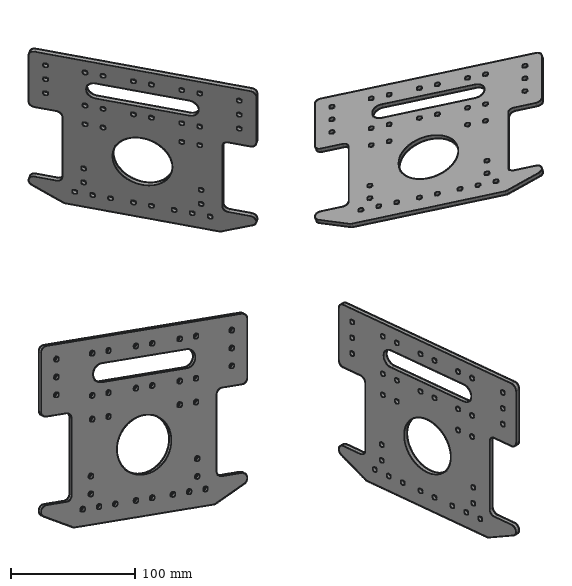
import cadquery as cq
import math

WIDTH = 190.0
HEIGHT = 156.75
THICKNESS = 4.0

HEAD_HEIGHT = 59.5
WAIST_WIDTH = 133.5
FOOT_TOP_Z = 22.75
BASE_WIDTH = 130.0
CORNER_RADIUS = 5.0
FOOT_TIP_RADIUS = 5.0
BASE_CORNER_RADIUS = 5.0

BORE_DIAMETER = 50.0
BORE_Z = 60.0
SLOT_LENGTH = 94.0
SLOT_WIDTH = 16.0
SLOT_Z = 126.5

HOLE_DIAMETER = 4.3
HOLE_PITCH = 15.0
CENTER_HOLE_X = HOLE_PITCH / 2
PAIR_INNER_X = 32.8
PAIR_OUTER_X = PAIR_INNER_X + HOLE_PITCH
HEAD_EDGE_HOLE_X = 80.75
WAIST_EDGE_HOLE_X = 49.0
BASE_INNER_X = 26.5
HEAD_ROW_Z = 144.25
BELOW_SLOT_ROW_Z = 108.75
ABOVE_BORE_ROW_Z = 88.75
WAIST_HOLE_Z = 26.0
BASE_ROW_Z = 14.25


def foot_tangent_point():
    """Point on the right foot tip arc where the sloping lower edge leaves it."""
    tip_x = WIDTH / 2 - FOOT_TIP_RADIUS
    tip_z = FOOT_TOP_Z - FOOT_TIP_RADIUS
    run = tip_x - BASE_WIDTH / 2
    slope = math.atan2(tip_z, run) - math.asin(FOOT_TIP_RADIUS / math.hypot(run, tip_z))
    return (
        tip_x + FOOT_TIP_RADIUS * math.sin(slope),
        tip_z - FOOT_TIP_RADIUS * math.cos(slope),
    )


def make_plate():
    """Plate outline with its rounded corners, front face on Y = 0."""
    half_width = WIDTH / 2
    half_waist = WAIST_WIDTH / 2
    half_base = BASE_WIDTH / 2
    head_bottom_z = HEIGHT - HEAD_HEIGHT
    tip_x = half_width - FOOT_TIP_RADIUS
    tip_z = FOOT_TOP_Z - FOOT_TIP_RADIUS
    tangent_x, tangent_z = foot_tangent_point()

    plate = (
        cq.Workplane("XZ")
        .moveTo(-half_base, 0)
        .lineTo(half_base, 0)
        .lineTo(tangent_x, tangent_z)
        .threePointArc((half_width, tip_z), (tip_x, FOOT_TOP_Z))
        .lineTo(half_waist, FOOT_TOP_Z)
        .lineTo(half_waist, head_bottom_z)
        .lineTo(half_width, head_bottom_z)
        .lineTo(half_width, HEIGHT)
        .lineTo(-half_width, HEIGHT)
        .lineTo(-half_width, head_bottom_z)
        .lineTo(-half_waist, head_bottom_z)
        .lineTo(-half_waist, FOOT_TOP_Z)
        .lineTo(-tip_x, FOOT_TOP_Z)
        .threePointArc((-half_width, tip_z), (-tangent_x, tangent_z))
        .close()
        .extrude(-THICKNESS)
    )

    rounded_corners = [
        (half_waist, FOOT_TOP_Z),
        (half_waist, head_bottom_z),
        (half_width, head_bottom_z),
        (half_width, HEIGHT),
    ]
    plate = round_corners(plate, rounded_corners, CORNER_RADIUS)
    return round_corners(plate, [(half_base, 0)], BASE_CORNER_RADIUS)


def round_corners(plate, corners, radius):
    """Fillet the thickness edges at the given (x, z) corners and their mirror images."""
    mid_y = THICKNESS / 2
    for x, z in corners:
        for side in (-1, 1):
            nearest_edge = cq.selectors.NearestToPointSelector((side * x, mid_y, z))
            plate = plate.edges("|Y").edges(nearest_edge).fillet(radius)
    return plate


def hole_positions():
    """(x, z) centres of every small hole."""
    pair_xs = [PAIR_INNER_X, PAIR_OUTER_X]
    base_xs = [CENTER_HOLE_X] + [BASE_INNER_X + i * HOLE_PITCH for i in range(3)]
    rows = [
        (HEAD_ROW_Z, [CENTER_HOLE_X] + pair_xs + [HEAD_EDGE_HOLE_X]),
        (HEAD_ROW_Z - HOLE_PITCH, [HEAD_EDGE_HOLE_X]),
        (HEAD_ROW_Z - 2 * HOLE_PITCH, [HEAD_EDGE_HOLE_X]),
        (BELOW_SLOT_ROW_Z, [CENTER_HOLE_X] + pair_xs),
        (ABOVE_BORE_ROW_Z, pair_xs),
        (WAIST_HOLE_Z + HOLE_PITCH, [WAIST_EDGE_HOLE_X]),
        (WAIST_HOLE_Z, [WAIST_EDGE_HOLE_X]),
        (BASE_ROW_Z, base_xs),
    ]
    return [(side * x, z) for z, xs in rows for x in xs for side in (-1, 1)]


def make_cutters():
    """Solids for the bore, the slot and the small holes, all through the plate."""
    bore = cq.Workplane("XZ").center(0, BORE_Z).circle(BORE_DIAMETER / 2).extrude(-THICKNESS)
    slot = cq.Workplane("XZ").center(0, SLOT_Z).slot2D(SLOT_LENGTH, SLOT_WIDTH).extrude(-THICKNESS)
    holes = (
        cq.Workplane("XZ")
        .pushPoints(hole_positions())
        .circle(HOLE_DIAMETER / 2)
        .extrude(-THICKNESS)
    )
    return [bore, slot, holes]


result = make_plate()
for cutter in make_cutters():
    result = result.cut(cutter)